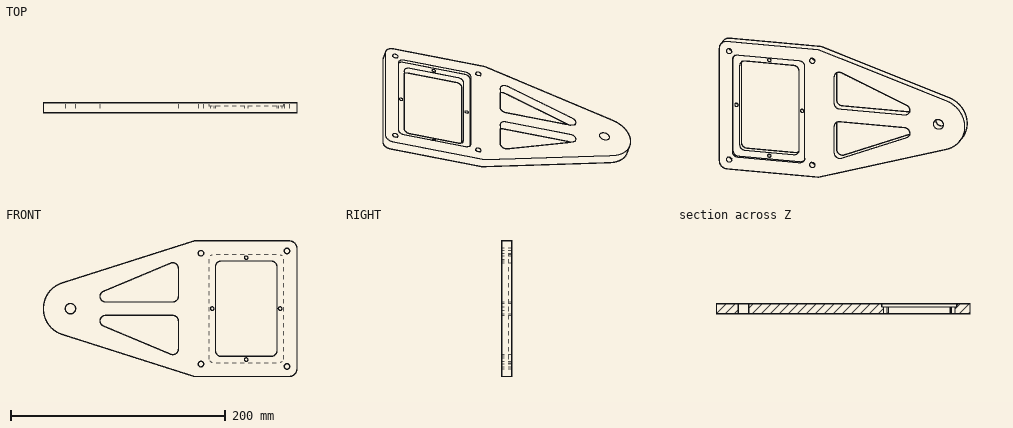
import cadquery as cq
import math

thickness = 9.525
nose_radius = 25.4
overall_length = 237.2
height = 127.0
shoulder_x = 115.8
corner_radius = 7.62
pivot_diameter = 9.525

half_height = height / 2
rear_x = overall_length - nose_radius

window_center_x = 164.2
window_length = 57.15
window_height = 88.9
window_radius = 5.08

recess_depth = 3.0
recess_margin = 6.35

pilot_diameter = 3.2
pilot_spacing_x = 63.5
pilot_spacing_z = 95.25

mount_diameter = 5.0
front_mount_x = 121.92
front_mount_spacing = 103.6
rear_mount_inset = 9.525
rear_mount_x = rear_x - rear_mount_inset
rear_mount_spacing = 107.95

rib_width = 12.7
triangle_tip_x = 7.5
triangle_rear_x = 100.7
triangle_slope = 0.419
triangle_radius = 5.08


def sketch_plane():
    """XZ plane on the -Y face; its normal is -Y, so negative extrusions go into the plate."""
    return cq.Workplane("XZ")


def make_blank():
    """Outline with a round nose, tangent tapered sides and rounded rear corners."""
    shoulder_distance = math.hypot(shoulder_x, half_height)
    taper_angle = math.atan2(half_height, shoulder_x) - math.asin(nose_radius / shoulder_distance)
    tangent_x = -nose_radius * math.sin(taper_angle)
    tangent_z = nose_radius * math.cos(taper_angle)
    return (
        sketch_plane()
        .moveTo(tangent_x, tangent_z)
        .lineTo(shoulder_x, half_height)
        .lineTo(rear_x, half_height)
        .lineTo(rear_x, -half_height)
        .lineTo(shoulder_x, -half_height)
        .lineTo(tangent_x, -tangent_z)
        .threePointArc((-nose_radius, 0), (tangent_x, tangent_z))
        .close()
        .extrude(-thickness)
        .edges("|Y and >X")
        .fillet(corner_radius)
    )


def make_window():
    return (
        sketch_plane()
        .center(window_center_x, 0)
        .rect(window_length, window_height)
        .extrude(-thickness)
        .edges("|Y")
        .fillet(window_radius)
    )


def make_recess():
    """Rounded rectangular cutter concentric with the window, sunk into the +Y face."""
    return (
        sketch_plane()
        .workplane(offset=-thickness)
        .center(window_center_x, 0)
        .rect(window_length + 2 * recess_margin, window_height + 2 * recess_margin)
        .extrude(recess_depth)
        .edges("|Y")
        .fillet(window_radius)
    )


def make_triangle(side):
    """Rounded triangular cutter; side is +1 above the rib and -1 below it."""
    rib_z = rib_width / 2
    top_z = rib_z + triangle_slope * (triangle_rear_x - triangle_tip_x)
    return (
        sketch_plane()
        .moveTo(triangle_tip_x, side * rib_z)
        .lineTo(triangle_rear_x, side * rib_z)
        .lineTo(triangle_rear_x, side * top_z)
        .close()
        .extrude(-thickness)
        .edges("|Y")
        .fillet(triangle_radius)
    )


def make_holes(diameter, centers):
    return sketch_plane().pushPoints(centers).circle(diameter / 2).extrude(-thickness)


pilot_centers = [
    (window_center_x - pilot_spacing_x / 2, 0),
    (window_center_x + pilot_spacing_x / 2, 0),
    (window_center_x, -pilot_spacing_z / 2),
    (window_center_x, pilot_spacing_z / 2),
]
mount_centers = [
    (x, side * spacing / 2)
    for x, spacing in ((front_mount_x, front_mount_spacing), (rear_mount_x, rear_mount_spacing))
    for side in (-1, 1)
]

result = make_blank().cut(make_window()).cut(make_recess())
for side in (-1, 1):
    result = result.cut(make_triangle(side))
result = result.cut(make_holes(pivot_diameter, [(0, 0)]))
result = result.cut(make_holes(pilot_diameter, pilot_centers))
result = result.cut(make_holes(mount_diameter, mount_centers))